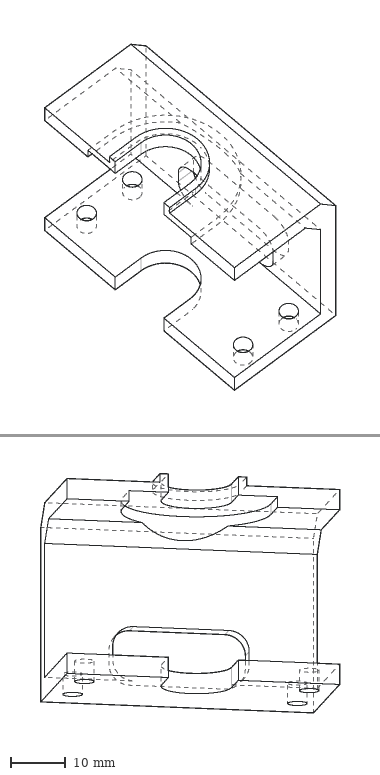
import cadquery as cq

length = 50.8
depth = 25.4
height = 38.1
wall = 3.8
bevel = 3.8
lip_height = 1.65
plate_top = height - lip_height
plate_bottom = plate_top - wall

cutout_radius = 6.5
lip_radius = 8.1
recess_radius = 13.8
recess_depth = 2.0
cutout_center_y = 6.5

window_width = 25.4
window_height = 10.15
window_corner = 3.8

hole_diameter = 3.55
hole_x = 20.95
hole_ys = (6.35, 17.8)


def u_shape(radius, bottom, top):
    """Solid U, straight from the front edge and round at the back."""
    return (
        cq.Workplane("XY")
        .workplane(offset=bottom)
        .moveTo(-radius, 0)
        .lineTo(-radius, cutout_center_y)
        .threePointArc((0, cutout_center_y + radius), (radius, cutout_center_y))
        .lineTo(radius, 0)
        .close()
        .extrude(top - bottom)
    )


def bracket_body():
    """Floor, back wall and top plate with a bevelled bend."""
    inner_back = depth - wall
    outline = [
        (0, 0),
        (depth, 0),
        (depth, plate_top - bevel),
        (depth - bevel, plate_top),
        (0, plate_top),
        (0, plate_bottom),
        (inner_back - bevel, plate_bottom),
        (inner_back, plate_bottom - bevel),
        (inner_back, wall),
        (0, wall),
    ]
    return cq.Workplane("YZ").polyline(outline).close().extrude(length / 2, both=True)


def window():
    """Rounded opening through the back wall."""
    return (
        cq.Workplane("XY")
        .box(window_width, wall, window_height)
        .edges("|Y")
        .fillet(window_corner)
        .translate((0, depth - wall / 2, wall + window_height / 2))
    )


def mounting_holes():
    """Two holes at each end of the floor."""
    points = [(x, y) for x in (-hole_x, hole_x) for y in hole_ys]
    return cq.Workplane("XY").pushPoints(points).circle(hole_diameter / 2).extrude(wall)


result = (
    bracket_body()
    .union(u_shape(lip_radius, plate_top, height))
    .cut(u_shape(recess_radius, plate_bottom - bevel, plate_bottom + recess_depth))
    .cut(u_shape(cutout_radius, 0, height))
    .cut(window())
    .cut(mounting_holes())
)